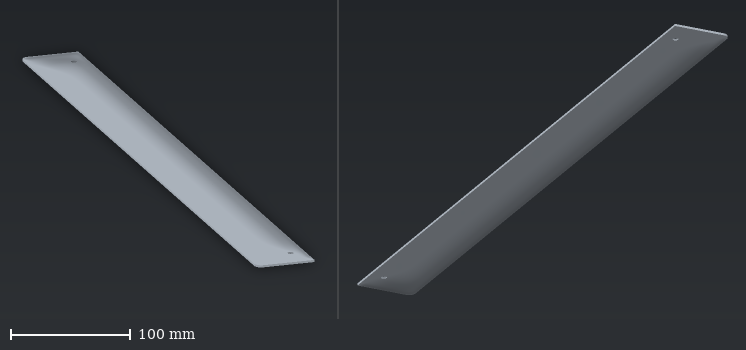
import cadquery as cq

length = 608.0
width = 51.0
thickness = 1.9
corner_radius = 6.0

hole_diameter = 5.1
hole_end_distance = 25.0
hole_edge_distance = hole_end_distance / 2

hole_x = length / 2 - hole_end_distance
hole_y = width / 2 - hole_edge_distance

plate = cq.Workplane("XY").box(length, width, thickness, centered=(True, True, False))

plate = plate.edges("|Z and <Y").fillet(corner_radius)

result = (
    plate.faces(">Z")
    .workplane(origin=(0, 0, thickness))
    .pushPoints([(-hole_x, hole_y), (hole_x, hole_y)])
    .hole(hole_diameter)
)